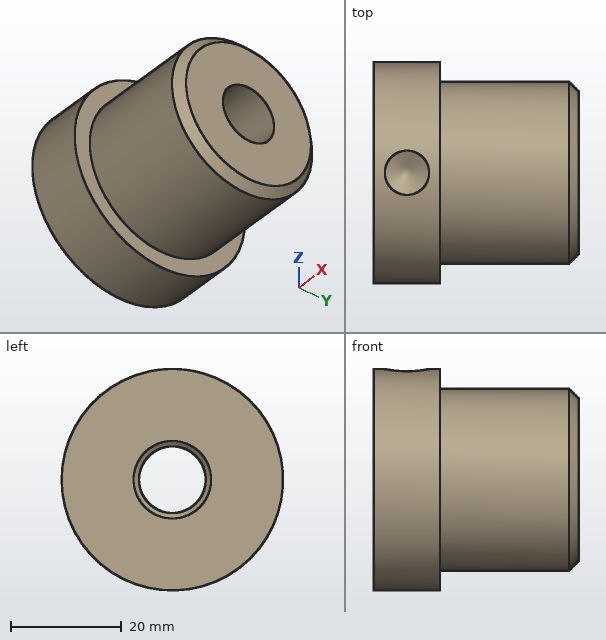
import cadquery as cq
import math

total_length = 37.0
flange_diameter = 40
flange_length = 12
body_diameter = 32.9
end_chamfer = 1.8

bore_diameter = 12
bore_chamfer = 1.0

cross_hole_diameter = 8
cross_hole_depth = 8
drill_point_angle = 118


def cylinder_along_x(diameter, start, length):
    return cq.Workplane("YZ", origin=(start, 0, 0)).circle(diameter / 2).extrude(length)


def make_bushing():
    flange = cylinder_along_x(flange_diameter, 0, flange_length)
    body = cylinder_along_x(body_diameter, flange_length, total_length - flange_length)
    body = body.faces(">X").chamfer(end_chamfer)
    return flange.union(body)


def make_bore():
    bore = cylinder_along_x(bore_diameter, 0, total_length)
    mouth = cq.Workplane(
        cq.Solid.makeCone(
            bore_diameter / 2 + bore_chamfer,
            bore_diameter / 2,
            bore_chamfer,
            pnt=cq.Vector(0, 0, 0),
            dir=cq.Vector(1, 0, 0),
        )
    )
    return bore.union(mouth)


def make_cross_hole():
    radius = cross_hole_diameter / 2
    flange_top = flange_diameter / 2
    floor = flange_top - cross_hole_depth
    tip = floor - radius / math.tan(math.radians(drill_point_angle / 2))
    half_profile = (
        cq.Workplane("XZ")
        .moveTo(0, tip)
        .lineTo(radius, floor)
        .lineTo(radius, flange_top)
        .lineTo(0, flange_top)
        .close()
    )
    hole = half_profile.revolve(360, (0, 0, 0), (0, 1, 0))
    return hole.translate((flange_length / 2, 0, 0))


result = make_bushing().cut(make_bore()).cut(make_cross_hole())